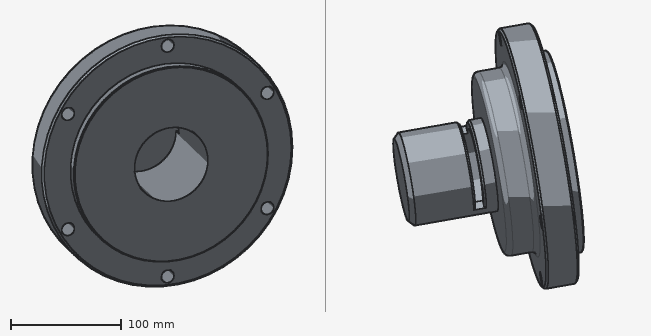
import cadquery as cq

shaft_diameter = 86.0
bore_diameter = 70.0
hub_diameter = 170.0
flange_diameter = 240.0
spigot_diameter = 186.0

hub_face = 81.0
flange_face = 110.5
flange_thickness = 30.5
flange_back = flange_face + flange_thickness
total_length = 150.7

shaft_chamfer = 5.0
hub_fillet = 5.0
flange_chamfer = 2.0
spigot_chamfer = 1.0

slot_width = 8.0
slot_chamfer = 2.0
slot_to_hub = 10.8
slot_end = hub_face - slot_to_hub - slot_chamfer
slot_start = slot_end - slot_width

hole_count = 6
hole_diameter = 12.0
bolt_circle_diameter = 220.0


def disc(start, end, diameter):
    """Solid cylinder along X between two axial positions."""
    return cq.Workplane("YZ", origin=(start, 0, 0)).circle(diameter / 2).extrude(end - start)


def make_body():
    """Stepped body: shaft, rounded hub, flange and rear spigot."""
    shaft = disc(0, hub_face, shaft_diameter).faces("<X").chamfer(shaft_chamfer)
    hub = disc(hub_face, flange_face, hub_diameter).faces("<X").edges().fillet(hub_fillet)
    flange = disc(flange_face, flange_back, flange_diameter).edges("%CIRCLE").chamfer(flange_chamfer)
    spigot = disc(flange_back, total_length, spigot_diameter).faces(">X").chamfer(spigot_chamfer)
    return shaft.union(hub).union(flange).union(spigot).union(make_hub_root())


def make_hub_root():
    """Concave ring blending the hub into the flange face."""
    radius = hub_diameter / 2
    arc_offset = hub_fillet * (1 - 0.5 ** 0.5)
    return (
        cq.Workplane("XY")
        .moveTo(flange_face - hub_fillet, radius)
        .threePointArc(
            (flange_face - arc_offset, radius + arc_offset),
            (flange_face, radius + hub_fillet),
        )
        .lineTo(flange_face, radius - hub_fillet)
        .lineTo(flange_face - hub_fillet, radius - hub_fillet)
        .close()
        .revolve(360, (0, 0, 0), (1, 0, 0))
    )


def make_slot():
    """Half-ring cutter above the axis, flared at the shaft surface."""
    outer_radius = shaft_diameter / 2
    profile = [
        (slot_start, 0),
        (slot_start, outer_radius - slot_chamfer),
        (slot_start - slot_chamfer, outer_radius),
        (slot_end + slot_chamfer, outer_radius),
        (slot_end, outer_radius - slot_chamfer),
        (slot_end, 0),
    ]
    ring = cq.Workplane("XY").polyline(profile).close().revolve(360, (0, 0, 0), (1, 0, 0))
    upper_half = cq.Workplane("XY").box(
        total_length, shaft_diameter, shaft_diameter, centered=(False, True, False)
    )
    return ring.intersect(upper_half)


def make_bolt_holes():
    """Through holes in the flange, the first one straight up."""
    return (
        cq.Workplane("YZ", origin=(flange_face, 0, 0))
        .polarArray(bolt_circle_diameter / 2, 90, 360, hole_count)
        .circle(hole_diameter / 2)
        .extrude(flange_thickness)
    )


bore = disc(slot_start, total_length, bore_diameter)
result = make_body().cut(bore).cut(make_slot()).cut(make_bolt_holes())